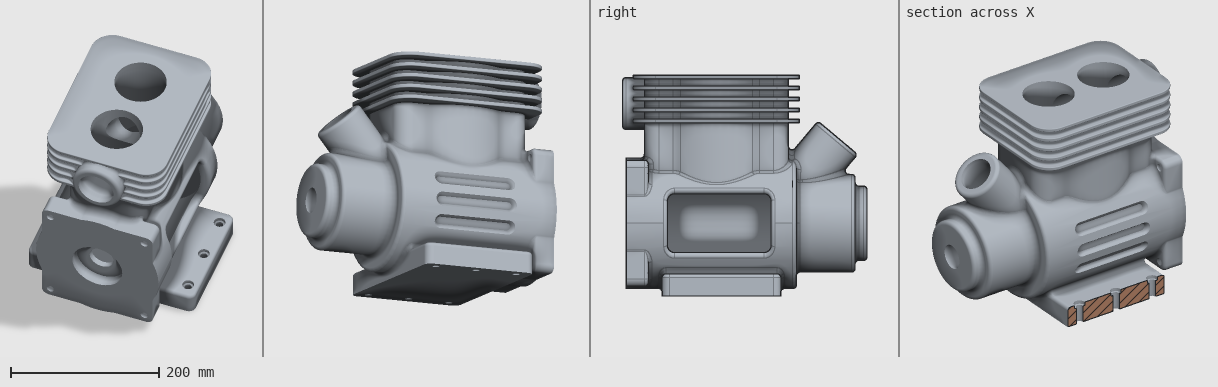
import cadquery as cq
import math

shaft_height = 98.5
edge_radius = 5.0

case_radius = 88.0
case_length = 229.7

flange_half_width = 80.0
flange_half_height = 84.8
flange_thickness = 30.0
flange_corner_radius = 10.0
flange_hole_x = 67.5
flange_hole_z = 72.5
flange_hole_radius = 5.3

foot_width = 240.0
foot_length = 160.0
foot_height = 30.0
foot_center_y = 128.7
foot_corner_radius = 10.0
foot_hole_x = 105.0
foot_hole_pitch = 60.0
foot_hole_radius = 5.0
foot_counterbore_radius = 8.0
foot_counterbore_depth = 5.0

rear_radius = 66.0
rear_end_y = 309.0
boss_radius = 50.0
boss_end_y = 325.0
joint_overlap = 16.5

block_top = 298.0
block_height = block_top - shaft_height
block_center_y = 121.8
block_length = 194.5
block_half_width = 55.0
block_corner_radius = 20.0
bulge_radius = 100.0
bulge_reach = 70.3
bulge_blend_radius = 20.0

fin_count = 5
fin_pitch = 15.0
fin_thickness = 5.0
fin_overhang = 15.0
fin_corner_radius = 30.0
fin_edge_radius = 1.0

cavity_radius = 75.0
cavity_end_wall = 24.8
cylinder_bore_radius = 35.3
cylinder_bore_pitch = 90.8
cylinder_bore_center_y = 119.8
shaft_bore_radius = 17.0
shaft_counterbore_radius = 36.0
shaft_counterbore_depth = 16.5

pipe_radius = 35.0
inlet_bore_radius = 25.0
inlet_front_y = -5.0
inlet_height = 259.7
outlet_bore_radius = 23.0
outlet_tilt = math.radians(40)
outlet_end_y = 285.5
outlet_end_z = 213.5
outlet_length = (outlet_end_z - shaft_height) / math.cos(outlet_tilt)
outlet_plane = cq.Plane(
    origin=(0, outlet_end_y, outlet_end_z),
    xDir=(1, 0, 0),
    normal=(0, -math.sin(outlet_tilt), -math.cos(outlet_tilt)),
)

slot_angles = (-20, 0, 20)
slot_center_y = 119.8
slot_length = 120.0
slot_half_width = 10.0
slot_floor_half_width = 5.0
slot_floor_radius = 81.5

window_center_y = 125.7
window_length = 140.0
window_height = 79.2
window_corner_radius = 10.0

clearance = 3.3


def rod(radius, start_y, end_y, z=shaft_height):
    """Cylinder parallel to Y in the X = 0 plane, between two Y positions."""
    plane = cq.Plane(origin=(0, start_y, z), xDir=(1, 0, 0), normal=(0, 1, 0))
    return cq.Workplane(plane).circle(radius).extrude(end_y - start_y)


def block_base(x):
    """Workplane at shaft level, midway along the cylinder block and offset by x."""
    return cq.Workplane("XY", origin=(x, block_center_y, shaft_height))


def make_flange():
    flange = cq.Workplane("XY").box(2 * flange_half_width, flange_thickness, 2 * flange_half_height)
    flange = flange.edges("|Y").fillet(flange_corner_radius)
    flange = flange.faces(">Y").edges().fillet(edge_radius)
    return flange.translate((0, flange_thickness / 2, shaft_height))


def make_foot():
    foot = cq.Workplane("XY").box(foot_width, foot_length, foot_height, centered=(True, True, False))
    foot = foot.edges("|Z").fillet(foot_corner_radius)
    foot = foot.faces(">Z").edges().fillet(edge_radius)
    return foot.translate((0, foot_center_y, 0))


def make_block():
    """Column with rounded corners and a shallow, smoothly blended bulge on each long side."""
    block = block_base(0).rect(2 * block_half_width, block_length).extrude(block_height)
    block = block.edges("|Z").fillet(block_corner_radius)
    bulge_axis_x = bulge_reach - bulge_radius
    for side in (-1, 1):
        disc = block_base(side * bulge_axis_x).circle(bulge_radius).extrude(block_height)
        trim = block_base(side * bulge_reach / 2).rect(bulge_reach, block_length)
        block = block.union(disc.intersect(trim.extrude(block_height)))
    bulge_half_chord = math.sqrt(bulge_radius**2 - (block_half_width - bulge_axis_x) ** 2)
    reach_x = block_half_width + clearance
    reach_y = bulge_half_chord + clearance
    bulge_valleys = cq.selectors.BoxSelector(
        (-reach_x, block_center_y - reach_y, shaft_height),
        (reach_x, block_center_y + reach_y, block_top),
    )
    return block.edges("|Z").edges(bulge_valleys).fillet(bulge_blend_radius)


def make_fin():
    """One cooling fin, its top face level with the block top."""
    width = 2 * (bulge_reach + fin_overhang)
    length = block_length + 2 * fin_overhang
    fin = cq.Workplane("XY", origin=(0, block_center_y, block_top)).rect(width, length)
    fin = fin.extrude(-fin_thickness).edges("|Z").fillet(fin_corner_radius)
    return fin.faces("<Z or >Z").edges().fillet(fin_edge_radius)


def make_outlet():
    outlet = cq.Workplane(outlet_plane).circle(pipe_radius).extrude(outlet_length)
    mouth = cq.selectors.DirectionMinMaxSelector(outlet_plane.zDir, False)
    return outlet.faces(mouth).edges().fillet(edge_radius)


def lies_on(edge, shell):
    """True when sample points along the edge touch the shell."""
    tolerance = 0.003
    samples = [cq.Vertex.makeVertex(*edge.positionAt(t).toTuple()) for t in (0.2, 0.5, 0.8)]
    return all(point.distance(shell) < tolerance for point in samples)


def join_with_blends(parts, radius):
    """Union the parts and fillet every edge along which two of them meet."""
    joined = parts[0]
    for part in parts[1:]:
        joined = joined.union(part)
    shells = [part.shells().val() for part in parts]
    seams = [e for e in joined.edges().vals() if sum(lies_on(e, s) for s in shells) > 1]
    return joined.newObject(seams).fillet(radius)


def make_slot(angle):
    """Tapered slot with round ends, cut radially and leaving a floor concentric with the barrel."""
    depth = case_radius - slot_floor_radius
    inset = slot_half_width - slot_floor_half_width
    taper = math.degrees(math.atan(inset / depth))
    turn = math.radians(angle)
    outward = cq.Vector(-math.cos(turn), 0, math.sin(turn))
    floor_center = cq.Vector(0, slot_center_y, shaft_height) + outward * slot_floor_radius
    slot = cq.Workplane(cq.Plane(floor_center, (0, 1, 0), outward))
    slot = slot.slot2D(slot_length - 2 * inset, 2 * slot_floor_half_width)
    slot = slot.extrude(depth + clearance, taper=-taper)
    return slot.cut(rod(slot_floor_radius, 0, case_length))


def cut_window(body):
    """Rectangular opening into the crank cavity, rounded along its outer rim."""
    window = (
        cq.Workplane("YZ", origin=(0, window_center_y, shaft_height))
        .rect(window_length, window_height)
        .extrude(case_radius + clearance)
        .edges("|X")
        .fillet(window_corner_radius)
    )
    rim_min_x = math.sqrt(case_radius**2 - (window_height / 2) ** 2) - clearance
    reach_y = window_length / 2 + clearance
    reach_z = window_height / 2 + clearance
    rim = cq.selectors.BoxSelector(
        (rim_min_x, window_center_y - reach_y, shaft_height - reach_z),
        (case_radius + clearance, window_center_y + reach_y, shaft_height + reach_z),
    )
    opened = body.cut(window)
    rim_edges = opened.edges(rim).edges("not |X")
    return rim_edges.fillet(edge_radius)


case = rod(case_radius, 0, case_length).faces(">Y").edges().fillet(edge_radius)
rear = rod(rear_radius, case_length - joint_overlap, rear_end_y).faces(">Y").edges().fillet(edge_radius)
boss = rod(boss_radius, rear_end_y - joint_overlap, boss_end_y).faces(">Y").edges().fillet(edge_radius)
castings = [case, make_flange(), make_foot(), make_block(), rear, boss, make_outlet()]
body = join_with_blends(castings, edge_radius)

inlet = rod(pipe_radius, inlet_front_y, block_center_y, z=inlet_height)
head = inlet.faces("<Y").edges().fillet(edge_radius)
top_fin = make_fin()
for i in range(fin_count):
    head = head.union(top_fin.translate((0, 0, -i * fin_pitch)))
body = body.union(head)

body = body.cut(rod(cavity_radius, cavity_end_wall, case_length - cavity_end_wall))
body = cut_window(body)
for angle in slot_angles:
    body = body.cut(make_slot(angle))

front_bore_y = cylinder_bore_center_y - cylinder_bore_pitch / 2
rear_bore_y = cylinder_bore_center_y + cylinder_bore_pitch / 2
gas_passage = rod(inlet_bore_radius, inlet_front_y, rear_bore_y, z=inlet_height)
for bore_y in (front_bore_y, rear_bore_y):
    bore = cq.Workplane("XY", origin=(0, bore_y, shaft_height)).circle(cylinder_bore_radius)
    gas_passage = gas_passage.union(bore.extrude(block_height))
body = body.cut(gas_passage)

shaft_bore = rod(shaft_bore_radius, 0, boss_end_y)
body = body.cut(shaft_bore.union(rod(shaft_counterbore_radius, 0, shaft_counterbore_depth)))
body = body.cut(cq.Workplane(outlet_plane).circle(outlet_bore_radius).extrude(outlet_length))

flange_holes = cq.Workplane("XZ", origin=(0, 0, shaft_height)).rarray(
    2 * flange_hole_x, 2 * flange_hole_z, 2, 2
)
body = body.cut(flange_holes.circle(flange_hole_radius).extrude(-flange_thickness))

foot_holes = cq.Workplane("XY", origin=(0, foot_center_y, foot_height)).rarray(
    2 * foot_hole_x, foot_hole_pitch, 2, 3
)
body = body.cut(foot_holes.circle(foot_hole_radius).extrude(-foot_height))
body = body.cut(foot_holes.circle(foot_counterbore_radius).extrude(-foot_counterbore_depth))

result = body